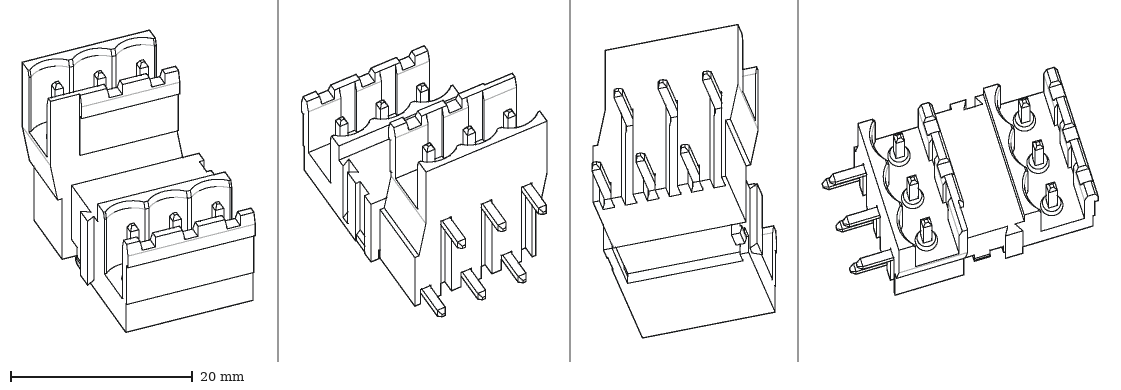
import cadquery as cq

PITCH = 5.08
POLES = 3
WIDTH = POLES * PITCH
HALF = PITCH / 2

HEADER_STEP = 3 * PITCH
UPPER_TOP = 22.0
LOWER_TOP = 12.2
WELL_DEPTH = 8.25
HEADER_X = 7.93
BACK_WALL = 1.93
BACK_BEVEL_X = 0.27
BACK_BEVEL_Z = 0.8
SCALLOP_SAG = 0.95
SCALLOP_HALF = 2.3
FRONT_IN = 6.94
FRONT_BEVEL_X = 0.37
FRONT_BEVEL_Z = 1.35
RELIEF_WIDTH = 1.96
RIB_X = 8.13
LATCH_X = 8.54
LATCH_Z = 2.95
NOTCH_DEPTH = 1.1
NOTCH_TOP = 1.88
NOTCH_BOTTOM = 1.54
UPPER_LATCH_START = 3.49

PIN = 1.0
PIN_END = 0.4
PIN_TAPER = 0.55
PIN_X = 3.95
PIN_HEIGHT = 7.4
COLLAR_BASE_R = 1.23
COLLAR_TOP_R = 1.02
COLLAR_H = 0.95
SOLDER_LENGTH = 4.06
SOLDER_LOW_Z = 1.9
SOLDER_HIGH_Z = SOLDER_LOW_Z + 2 * PITCH
SLOT_WIDTH = 1.32
SLOT_DEPTH = 1.5
GAP_DEPTH = 0.3
GAP_STRAIGHT = 0.5
GAP_END = 1.05

FOOT_SHIFT = 1.4
FOOT_TOP = 8.27
TAPER_TOP = 13.22
TAPER_SHIFT = 0.87
BLOCK_TOP = 9.8
BLOCK_Y = HALF
BLOCK_END = BLOCK_Y + WIDTH

DOVETAIL_X = 13.76
DOVETAIL_ROOT = 0.85
DOVETAIL_TIP = 2.02
DOVETAIL_H = 1.0
DOVETAIL_Z = 1.06
DOVETAIL_PLAY = 0.08

TONGUE_X0 = 9.48
TONGUE_X1 = 11.29
TONGUE_SLOT_X1 = 12.85
TONGUE_SLOT_Z = 2.37
TONGUE_DEPTH = 1.0
HOOK_OUT = 0.18
HOOK_TOP = 1.06
HOOK_MID = 0.7
CAVITY_Z = 1.4
CAVITY_X1 = 14.0
CATCH_PLAY = 0.1
CATCH_DEPTH = 0.56
CATCH_TOP_Z = HOOK_TOP + CATCH_DEPTH


def box(x0, x1, y0, y1, z0, z1):
    return cq.Workplane("XY").box(x1 - x0, y1 - y0, z1 - z0, centered=False).translate((x0, y0, z0))


def prism_y(points, y0, y1):
    """XZ outline extruded from y0 to y1."""
    return cq.Workplane("XZ", origin=(0, y0, 0)).polyline(points).close().extrude(y0 - y1)


def prism_x(points, x0, x1):
    """YZ outline extruded from x0 to x1."""
    return cq.Workplane("YZ", origin=(x0, 0, 0)).polyline(points).close().extrude(x1 - x0)


def pole_centres(start):
    return [start + HALF + i * PITCH for i in range(POLES)]


def pin(length):
    """Square pin rising from the origin along Z, with a tapered end."""
    shaft = cq.Workplane("XY").rect(PIN, PIN).extrude(length - PIN_TAPER)
    end = (
        cq.Workplane("XY", origin=(0, 0, length - PIN_TAPER)).rect(PIN, PIN)
        .workplane(offset=PIN_TAPER).rect(PIN_END, PIN_END).loft(ruled=True)
    )
    return shaft.union(end)


def contact():
    collar = (
        cq.Workplane("XY").circle(COLLAR_BASE_R)
        .workplane(offset=COLLAR_H).circle(COLLAR_TOP_R).loft(ruled=True)
    )
    return collar.union(pin(PIN_HEIGHT))


def scallop(y):
    """Round relief in the back wall, leaning outwards at its top edge."""
    def outline(plane, shift):
        return (
            plane.moveTo(PIN_X, y - SCALLOP_HALF)
            .lineTo(BACK_WALL - shift, y - SCALLOP_HALF)
            .threePointArc((BACK_WALL - SCALLOP_SAG - shift, y), (BACK_WALL - shift, y + SCALLOP_HALF))
            .lineTo(PIN_X, y + SCALLOP_HALF).close()
        )
    bevel_z = WELL_DEPTH - BACK_BEVEL_Z
    straight = outline(cq.Workplane("XY"), 0).extrude(bevel_z)
    lower = outline(cq.Workplane("XY", origin=(0, 0, bevel_z)), 0)
    leaning = outline(lower.workplane(offset=BACK_BEVEL_Z), BACK_BEVEL_X).loft(ruled=True)
    return straight.union(leaning)


def header(latch_start, notch_centres):
    """Trough walls and contacts, with Z zero at the trough floor."""
    top = WELL_DEPTH
    bevel_z = top - FRONT_BEVEL_Z
    front_top_in = FRONT_IN + FRONT_BEVEL_X
    front_top_out = LATCH_X - FRONT_BEVEL_X

    back = prism_y(
        [(0, 0), (BACK_WALL, 0), (BACK_WALL, top - BACK_BEVEL_Z), (BACK_WALL - BACK_BEVEL_X, top), (0, top)],
        0, WIDTH,
    )
    for y in pole_centres(0):
        back = back.cut(scallop(y))

    front = prism_y(
        [(FRONT_IN, 0), (HEADER_X, 0), (HEADER_X, top), (front_top_in, top), (FRONT_IN, bevel_z)],
        0, WIDTH,
    )
    latch = prism_y(
        [(front_top_in, 0), (RIB_X, 0), (RIB_X, top - LATCH_Z), (LATCH_X, top - LATCH_Z),
         (LATCH_X, bevel_z), (front_top_out, top), (front_top_in, top)],
        latch_start, WIDTH,
    )
    front = front.union(latch)
    for i in range(1, POLES):
        y = i * PITCH
        front = front.cut(box(FRONT_IN, front_top_in, y - RELIEF_WIDTH / 2, y + RELIEF_WIDTH / 2, 0, top))
    for y in notch_centres:
        front = front.cut(prism_x(
            [(y - NOTCH_TOP / 2, top), (y + NOTCH_TOP / 2, top),
             (y + NOTCH_BOTTOM / 2, top - NOTCH_DEPTH), (y - NOTCH_BOTTOM / 2, top - NOTCH_DEPTH)],
            FRONT_IN, LATCH_X,
        ))

    walls = back.union(front)
    for y in pole_centres(0):
        walls = walls.union(contact().translate((PIN_X, y, 0)))
    return walls


def solder_slot(y, pin_z):
    """Slot in the back face from the solder pin down to the base, with a gap on each side of the pin."""
    top = pin_z + PIN / 2
    under = pin_z - PIN / 2
    half = SLOT_WIDTH / 2
    slot = box(0, SLOT_DEPTH, y - half, y + half, 0, top)
    for side in (-1, 1):
        slot = slot.union(prism_x(
            [(y + side * PIN / 2, top), (y + side * half, top),
             (y + side * half, under - GAP_END), (y + side * PIN / 2, under - GAP_STRAIGHT)],
            0, SLOT_DEPTH + GAP_DEPTH,
        ))
    return slot


def tower():
    """Body under the upper header, with its shifted foot and the two rows of solder pins."""
    floor = UPPER_TOP - WELL_DEPTH
    body = prism_x(
        [(0, floor), (0, TAPER_TOP), (TAPER_SHIFT, FOOT_TOP), (FOOT_SHIFT, FOOT_TOP), (FOOT_SHIFT, 0),
         (FOOT_SHIFT + WIDTH, 0), (FOOT_SHIFT + WIDTH, FOOT_TOP), (WIDTH + TAPER_SHIFT, FOOT_TOP),
         (WIDTH, TAPER_TOP), (WIDTH, floor)],
        0, HEADER_X,
    )
    solder_pin = pin(SOLDER_LENGTH + SLOT_DEPTH + GAP_DEPTH).rotate((0, 0, 0), (0, 1, 0), -90)
    for start, z in ((0, SOLDER_HIGH_Z), (HALF, SOLDER_LOW_Z)):
        for y in pole_centres(start):
            body = body.cut(solder_slot(y, z))
            body = body.union(solder_pin.translate((SLOT_DEPTH + GAP_DEPTH, y, z)))
    return body


def dovetail(y, height, play):
    """Dovetail that widens from its root at y towards -Y."""
    root = DOVETAIL_ROOT / 2 + play
    tip = DOVETAIL_TIP / 2 + play
    return (
        cq.Workplane("XY", origin=(DOVETAIL_X, y, DOVETAIL_Z))
        .polyline([(-root, 0), (root, 0), (tip, -height), (-tip, -height)]).close()
        .extrude(BLOCK_TOP - DOVETAIL_Z)
    )


def block():
    """Connecting block and the base of the lower header, with the snap tongue and the dovetails."""
    link = box(HEADER_X, HEADER_STEP, BLOCK_Y, BLOCK_END, 0, BLOCK_TOP)
    base = box(HEADER_STEP, HEADER_STEP + HEADER_X, BLOCK_Y, BLOCK_END, 0, LOWER_TOP - WELL_DEPTH)
    body = link.union(base)

    back = BLOCK_Y + TONGUE_DEPTH
    body = body.cut(box(HEADER_X, TONGUE_SLOT_X1, BLOCK_Y, back, 0, TONGUE_SLOT_Z))
    body = body.cut(box(HEADER_X, CAVITY_X1, back, BLOCK_END - TONGUE_DEPTH, 0, CAVITY_Z))
    tongue = prism_x(
        [(back, 0), (BLOCK_Y, 0), (BLOCK_Y - HOOK_OUT, HOOK_MID), (BLOCK_Y - HOOK_OUT, HOOK_TOP),
         (BLOCK_Y, HOOK_TOP), (BLOCK_Y, TONGUE_SLOT_Z), (back, TONGUE_SLOT_Z)],
        TONGUE_X0, TONGUE_X1,
    )
    catch = prism_x(
        [(BLOCK_END, 0), (BLOCK_END - CATCH_PLAY, 0), (BLOCK_END - CATCH_PLAY, HOOK_TOP),
         (BLOCK_END - CATCH_DEPTH, CATCH_TOP_Z), (BLOCK_END - CATCH_DEPTH, BLOCK_TOP), (BLOCK_END, BLOCK_TOP)],
        TONGUE_X0 - CATCH_PLAY, TONGUE_X1 + CATCH_PLAY,
    )
    body = body.union(tongue).cut(catch)
    body = body.union(dovetail(BLOCK_Y, DOVETAIL_H, 0))
    return body.cut(dovetail(BLOCK_END, DOVETAIL_H + DOVETAIL_PLAY / 2, DOVETAIL_PLAY))


upper_header = header(UPPER_LATCH_START, pole_centres(0)[1:])
lower_header = header(0, pole_centres(0))

result = (
    tower()
    .union(block())
    .union(upper_header.translate((0, 0, UPPER_TOP - WELL_DEPTH)))
    .union(lower_header.translate((HEADER_STEP, BLOCK_Y, LOWER_TOP - WELL_DEPTH)))
)